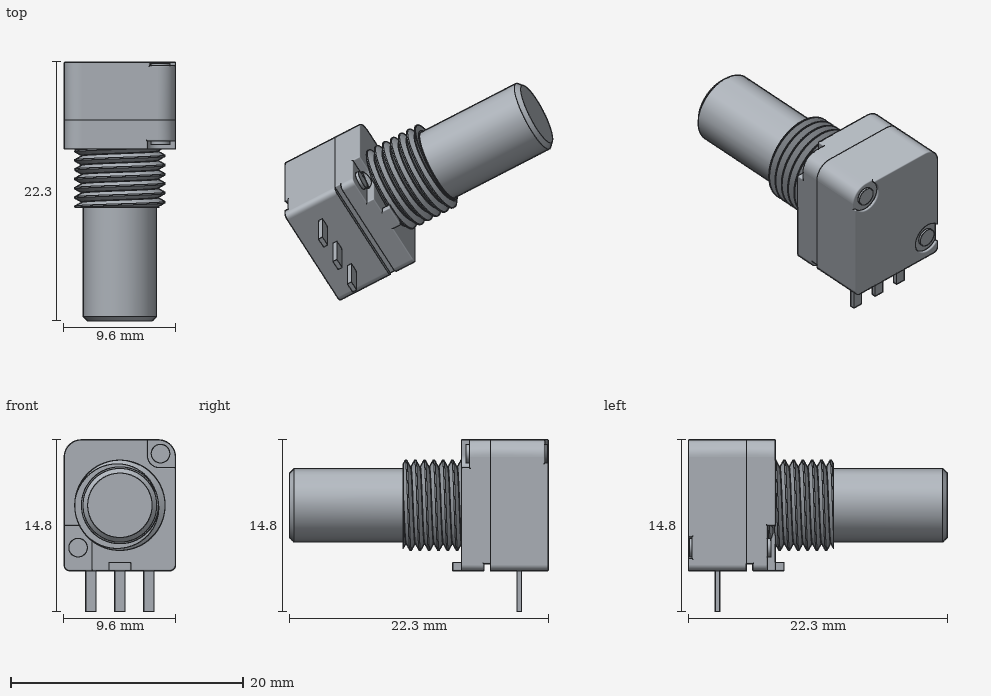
import cadquery as cq


case_width = 9.6
case_height = 11.3
front_depth = 2.5
rear_depth = 5.0
case_depth = front_depth + rear_depth
top_corner_radius = 1.5
bottom_corner_radius = 0.5
edge_round = 0.1
half_width = case_width / 2
half_height = case_height / 2

outer_band = 0.5
tolerance = 0.01

bushing_length = 5.0
bushing_radius = 3.33
thread_radius = 3.89
thread_pitch = 0.8
thread_crest_width = 0.12
thread_base_width = 0.76
thread_overlap = 0.02
thread_crest_offset = -0.24
shaft_diameter = 6.35
shaft_projection = 14.8
shaft_chamfer = 0.4

rivet_diameter = 1.6
upper_rivet = (3.5, 4.45)
lower_rivet = (-3.6, -3.65)
rivet_places = [upper_rivet, lower_rivet]
rivet_front_setback = 0.4
rivet_rear_setback = 0.1
front_pocket_depth = 0.7
front_pocket_corner_radius = 1.0
upper_pocket_corner = (2.38, 3.25)
lower_pocket_corner = (-2.38, -1.75)
rear_recess_depth = 0.3
rear_recess_radius = 1.4

notch_width = 0.54
notch_height = 0.6
tab_width = 1.9
tab_height = 0.74
tab_projection = 0.75

pin_pitch = 2.5
pin_width = 0.9
pin_thickness = 0.4
pin_length = 3.5
pin_root = edge_round
pin_y = front_depth + rear_depth / 2


def box_between(x_range, y_range, z_range):
    """Box spanning the given (low, high) ranges."""
    size = [high - low for low, high in (x_range, y_range, z_range)]
    corner = (x_range[0], y_range[0], z_range[0])
    return cq.Workplane("XY").box(*size, centered=False).translate(corner)


def rod(radius, y_low, y_high, place=(0, 0)):
    """Cylinder along Y, centred on the given (x, z) place."""
    x, z = place
    start = cq.Workplane("XZ", origin=(x, y_high, z))
    return start.circle(radius).extrude(y_high - y_low)


def case_block(y_low, y_high):
    """Piece of the case between two depths: large rounds at the top, small ones at the bottom."""
    block = box_between((-half_width, half_width), (y_low, y_high), (-half_height, half_height))
    block = block.edges("|Y and >Z").fillet(top_corner_radius)
    return block.edges("|Y and <Z").fillet(bottom_corner_radius)


def side_edges(case, y_low, y_high):
    """Edges on the case's outer sides whose middle lies strictly between the two depths."""
    chosen = []
    for edge in case.edges().vals():
        middle = edge.positionAt(0.5)
        on_side = abs(middle.x) > half_width - outer_band or abs(middle.z) > half_height - outer_band
        if on_side and y_low < middle.y < y_high:
            chosen.append(edge)
    return chosen


def round_pocketed_end(case, end_selector, y_low, y_high):
    """Round an end face's edges and the side edges left by its pockets between the two depths."""
    end_edges = case.faces(end_selector).edges().vals()
    return case.newObject(end_edges + side_edges(case, y_low, y_high)).fillet(edge_round)


def cut_notch(case):
    """Cut the notch along the bottom of the front case's rear edge and round its rim."""
    notch_front = front_depth - notch_width
    notch_top = -half_height + notch_height
    case = case.cut(box_between(
        (-case_width, case_width),
        (notch_front, case_depth),
        (-case_height, notch_top),
    ))
    rim = side_edges(case, notch_front - tolerance, front_depth - tolerance)
    return case.newObject(rim).fillet(edge_round)


def corner_pocket(corner):
    """Cutter for the front pocket that runs from its inner corner out past the case corner."""
    x, z = corner
    x_side = 1 if x > 0 else -1
    z_side = 1 if z > 0 else -1
    x_range = sorted((x, x_side * case_width))
    z_range = sorted((z, z_side * case_height))
    cutter = box_between(x_range, (-case_depth, front_pocket_depth), z_range)
    inner_edge = ("<X" if x > 0 else ">X") + " and " + ("<Z" if z > 0 else ">Z") + " and |Y"
    return cutter.edges(inner_edge).fillet(front_pocket_corner_radius)


def thread_ridge():
    """Right-handed helical ridge that winds around the bushing, from its tip to the pocket floor."""
    root_radius = bushing_radius - thread_overlap
    spare_turns = 2
    first_turn = thread_crest_offset - spare_turns * thread_pitch
    length = bushing_length + 2 * spare_turns * thread_pitch
    helix = cq.Wire.makeHelix(thread_pitch, length, root_radius)
    profile = cq.Workplane("XZ").polyline([
        (root_radius, -thread_base_width / 2),
        (thread_radius, -thread_crest_width / 2),
        (thread_radius, thread_crest_width / 2),
        (root_radius, thread_base_width / 2),
    ]).close()
    ridge = profile.sweep(cq.Workplane(helix), isFrenet=True)
    ridge = ridge.translate((0, 0, first_turn)).rotate((0, 0, 0), (1, 0, 0), 90)
    return ridge.intersect(rod(case_width, -bushing_length, front_pocket_depth))


def locating_tab():
    """Small lug on the front face, level with the bottom of the case."""
    tab = box_between(
        (-tab_width / 2, tab_width / 2),
        (-tab_projection, front_depth / 2),
        (-half_height, -half_height + tab_height),
    )
    return tab.edges("<Y or |Y").fillet(edge_round)


def make_front_case():
    """Front half of the case, with the threaded bushing and the locating tab."""
    case = case_block(0, front_depth)
    for corner in (upper_pocket_corner, lower_pocket_corner):
        case = case.cut(corner_pocket(corner))
    case = round_pocketed_end(case, "<Y", tolerance, front_pocket_depth + tolerance)
    case = cut_notch(case)
    bushing = rod(bushing_radius, -bushing_length, front_depth)
    bushing = bushing.faces("<Y").edges().fillet(edge_round)
    case = case.union(locating_tab()).union(bushing).union(thread_ridge())
    case = case.cut(rod(shaft_diameter / 2, -case_depth, case_depth))
    for place in rivet_places:
        case = case.cut(rod(rivet_diameter / 2, -case_depth, case_depth, place))
    return case


def make_pin(x):
    """Flat terminal pin, rooted a little way into the bottom of the rear case."""
    return box_between(
        (x - pin_width / 2, x + pin_width / 2),
        (pin_y - pin_thickness / 2, pin_y + pin_thickness / 2),
        (-half_height - pin_length, -half_height + pin_root),
    )


def make_rear_case():
    """Rear half of the case, with the three terminal pins moulded in."""
    case = case_block(front_depth, case_depth)
    recess_floor = case_depth - rear_recess_depth
    for place in rivet_places:
        case = case.cut(rod(rear_recess_radius, recess_floor, 2 * case_depth, place))
    case = round_pocketed_end(case, ">Y", recess_floor - tolerance, case_depth - tolerance)
    for place in rivet_places:
        case = case.cut(rod(rivet_diameter / 2, 0, case_depth, place))
    for x in (-pin_pitch, 0, pin_pitch):
        case = case.union(make_pin(x))
    return case


def make_shaft():
    """Plain round shaft with a chamfered tip, seated in the bore of the front case."""
    shaft = rod(shaft_diameter / 2, -shaft_projection, front_depth)
    return shaft.faces("<Y").chamfer(shaft_chamfer)


def make_rivet(place):
    """Plain rivet through both halves of the case."""
    return rod(rivet_diameter / 2, rivet_front_setback, case_depth - rivet_rear_setback, place)


front_case = make_front_case()
rear_case = make_rear_case()
shaft = make_shaft()
rivets = [make_rivet(place) for place in rivet_places]

result = cq.Compound.makeCompound([
    front_case.val(),
    rear_case.val(),
    shaft.val(),
    *[rivet.val() for rivet in rivets],
])